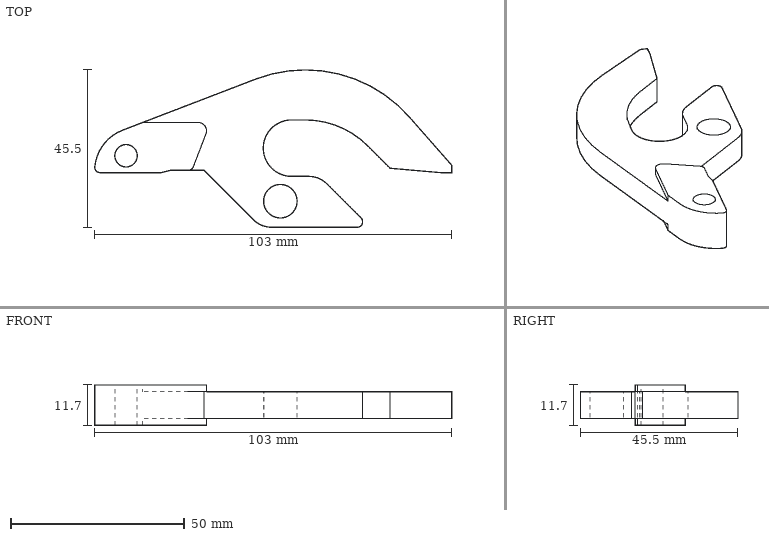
import cadquery as cq
import math

plate_thickness = 7.75
boss_thickness = 11.68

pivot_hole_diameter = 6.4
pin_hole_diameter = 9.6
pin_hole_x = 44.5
pin_hole_y = -13.1

base_y = -4.9

hook_x = 51.7
hook_y = -15.1
hook_outer_radius = 39.9
hook_inner_radius = 25.4
back_normal_angle = 111.0
nose_normal_angle = 41.3
nose_x = 93.95
nose_land_x = 91.2
nose_edge_angle = 5.0
nose_blend_radius = 12.7

throat_radius = 8.1
throat_x = 47.7

jaw_angle = 45.0
jaw_bottom_y = -20.65
jaw_bend_radius = 7.4
jaw_tip_radius = 1.6
jaw_tip_x = 66.65

tail_radius = 12.7
tail_left_x = -9.11
tail_corner_radius = 1.6
step_start_x = 10.1
step_end_x = 13.0
step_y = -4.2
neck_x = 22.45

boss_top_y = 9.6
boss_corner_x = 24.3
boss_end_angle = 69.0
boss_upper_radius = 2.4
boss_lower_radius = 1.6


def polar(center, radius, angle):
    """Point at the given radius and angle in degrees from a centre."""
    a = math.radians(angle)
    return (center[0] + radius * math.cos(a), center[1] + radius * math.sin(a))


def crossing(point_a, angle_a, point_b, angle_b):
    """Crossing of two lines, each given by a point and a direction in degrees."""
    slope_a = math.tan(math.radians(angle_a))
    slope_b = math.tan(math.radians(angle_b))
    x = (point_b[1] - point_a[1] + slope_a * point_a[0] - slope_b * point_b[0]) / (slope_a - slope_b)
    return (x, point_a[1] + slope_a * (x - point_a[0]))


def tail_geometry(hook):
    """Centres of the tail arc, tangent to the back edge, and of its bottom corner arc."""
    a = math.radians(back_normal_angle)
    back_offset = hook[0] * math.cos(a) + hook[1] * math.sin(a) + hook_outer_radius
    tail_x = tail_left_x + tail_radius
    tail_y = (back_offset - tail_radius - tail_x * math.cos(a)) / math.sin(a)
    corner_y = base_y + tail_corner_radius
    reach = tail_radius - tail_corner_radius
    corner_x = tail_x - math.sqrt(reach**2 - (corner_y - tail_y) ** 2)
    return (tail_x, tail_y), (corner_x, corner_y)


def outline():
    """Closed outline of the whole part, drawn counter-clockwise from the tail."""
    hook = (hook_x, hook_y)
    tail, tail_corner = tail_geometry(hook)
    tail_end_angle = math.degrees(math.atan2(tail_corner[1] - tail[1], tail_corner[0] - tail[0])) % 360

    bend_y = jaw_bottom_y + jaw_bend_radius
    slope_normal = 270 - jaw_angle
    bend_start_y = polar((0, bend_y), jaw_bend_radius, slope_normal)[1]
    bend_start_x = neck_x + (step_y - bend_start_y) / math.tan(math.radians(jaw_angle))
    bend_x = bend_start_x - polar((0, 0), jaw_bend_radius, slope_normal)[0]
    bend = (bend_x, bend_y)

    jaw_tip = (jaw_tip_x, jaw_bottom_y + jaw_tip_radius)
    slope_up = 90 - jaw_angle
    tip_end = polar(jaw_tip, jaw_tip_radius, slope_up)

    throat_y = hook_y + hook_inner_radius - throat_radius
    throat = (throat_x, throat_y)
    throat_bottom_y = throat_y - throat_radius
    upper_bend_y = throat_bottom_y - jaw_bend_radius
    upper_bend_end_y = polar((0, upper_bend_y), jaw_bend_radius, slope_up)[1]
    upper_bend_end_x = tip_end[0] - (upper_bend_end_y - tip_end[1]) / math.tan(math.radians(jaw_angle))
    upper_bend = (upper_bend_end_x - polar((0, 0), jaw_bend_radius, slope_up)[0], upper_bend_y)

    inner_end = polar(hook, hook_inner_radius, slope_up)
    nose_blend = (nose_land_x, base_y + nose_blend_radius)
    nose_edge_end = polar(nose_blend, nose_blend_radius, 270 - nose_edge_angle)
    hook_corner = crossing(inner_end, -jaw_angle, nose_edge_end, -nose_edge_angle)
    nose_start = polar(hook, hook_outer_radius, nose_normal_angle)
    nose_top_y = nose_start[1] - (nose_x - nose_start[0]) / math.tan(math.radians(nose_normal_angle))
    top_angle = (nose_normal_angle + back_normal_angle) / 2

    return (
        cq.Workplane("XY")
        .moveTo(tail_corner[0], base_y)
        .lineTo(step_start_x, base_y)
        .lineTo(step_end_x, step_y)
        .lineTo(neck_x, step_y)
        .lineTo(bend_start_x, bend_start_y)
        .threePointArc(polar(bend, jaw_bend_radius, (slope_normal + 270) / 2), (bend_x, jaw_bottom_y))
        .lineTo(jaw_tip_x, jaw_bottom_y)
        .threePointArc(polar(jaw_tip, jaw_tip_radius, (slope_up - 90) / 2), tip_end)
        .lineTo(upper_bend_end_x, upper_bend_end_y)
        .threePointArc(
            polar(upper_bend, jaw_bend_radius, (slope_up + 90) / 2),
            (upper_bend[0], throat_bottom_y),
        )
        .lineTo(throat_x, throat_bottom_y)
        .threePointArc(polar(throat, throat_radius, 180), polar(throat, throat_radius, 90))
        .lineTo(hook_x, hook_y + hook_inner_radius)
        .threePointArc(polar(hook, hook_inner_radius, (slope_up + 90) / 2), inner_end)
        .lineTo(*hook_corner)
        .lineTo(*nose_edge_end)
        .threePointArc(
            polar(nose_blend, nose_blend_radius, 270 - nose_edge_angle / 2),
            (nose_land_x, base_y),
        )
        .lineTo(nose_x, base_y)
        .lineTo(nose_x, nose_top_y)
        .lineTo(*nose_start)
        .threePointArc(
            polar(hook, hook_outer_radius, top_angle),
            polar(hook, hook_outer_radius, back_normal_angle),
        )
        .lineTo(*polar(tail, tail_radius, back_normal_angle))
        .threePointArc(
            polar(tail, tail_radius, (back_normal_angle + tail_end_angle) / 2),
            polar(tail, tail_radius, tail_end_angle),
        )
        .threePointArc(
            polar(tail_corner, tail_corner_radius, (tail_end_angle + 270) / 2),
            (tail_corner[0], base_y),
        )
        .close()
    )


def slab(profile, thickness):
    """Extrude a profile to a slab centred on Z = 0."""
    return profile.extrude(thickness).translate((0, 0, -thickness / 2))


def boss_region():
    """Slab that limits the thick tail; its slanted right end has rounded corners."""
    end_lean = (boss_top_y - step_y) / math.tan(math.radians(boss_end_angle))
    left_x = tail_left_x - tail_radius
    lower_y = base_y - tail_radius
    upper_corner = (boss_corner_x, boss_top_y)
    lower_corner = (boss_corner_x - end_lean, step_y)
    profile = cq.Workplane("XY").polyline(
        [
            (left_x, lower_y),
            (step_end_x, lower_y),
            (step_end_x, step_y),
            lower_corner,
            upper_corner,
            (left_x, boss_top_y),
        ]
    ).close()
    region = slab(profile, boss_thickness)
    for corner, radius in ((upper_corner, boss_upper_radius), (lower_corner, boss_lower_radius)):
        corner_edge = cq.selectors.NearestToPointSelector((*corner, 0))
        region = region.edges("|Z").edges(corner_edge).fillet(radius)
    return region


def through_hole(x, y, diameter):
    """Cylinder long enough to drill through the whole part."""
    return slab(cq.Workplane("XY").center(x, y).circle(diameter / 2), 2 * boss_thickness)


plate = slab(outline(), plate_thickness)
boss = slab(outline(), boss_thickness).intersect(boss_region())

result = (
    plate.union(boss)
    .cut(through_hole(0, 0, pivot_hole_diameter))
    .cut(through_hole(pin_hole_x, pin_hole_y, pin_hole_diameter))
)